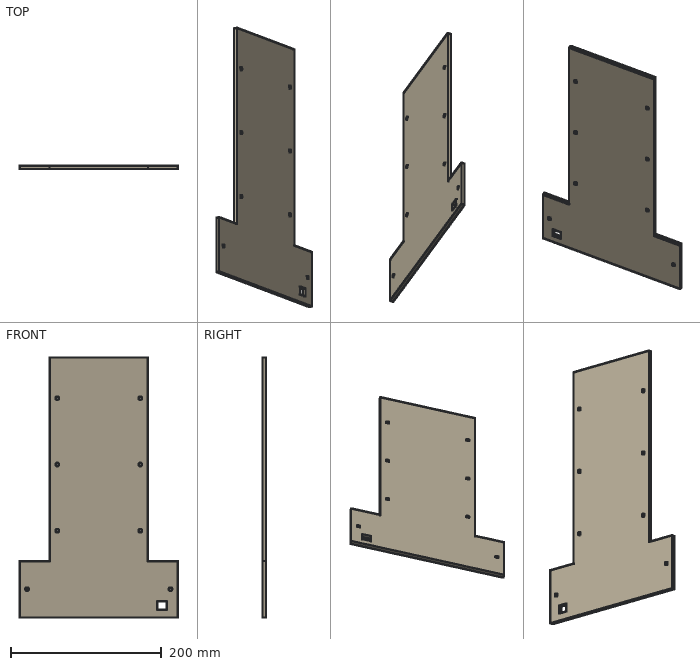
import cadquery as cq

total_height = 345.0
thickness = 5.0
foot_width = 210.0
foot_height = 75.0
panel_width = 130.0

hole_diameter = 4.0
panel_hole_spacing = 110.0
panel_hole_pitch = 88.0
panel_hole_middle_height = 203.0
foot_hole_spacing = 190.0
foot_hole_height = 37.5

window_width = 12.0
window_height = 11.0
window_center_x = 84.0
window_center_z = 16.0


def front_block(width, height, center_x, bottom_z):
    """Block of plate thickness, centred through the plate."""
    return (
        cq.Workplane("XY")
        .box(width, thickness, height, centered=(True, True, False))
        .translate((center_x, 0, bottom_z))
    )


def screw_holes():
    """Cylinders for the symmetric hole pairs in the panel and foot."""
    centers = []
    for side in (-1, 1):
        centers.append((side * foot_hole_spacing / 2, foot_hole_height))
        for row in (-1, 0, 1):
            height = panel_hole_middle_height + row * panel_hole_pitch
            centers.append((side * panel_hole_spacing / 2, height))
    return (
        cq.Workplane("XZ")
        .pushPoints(centers)
        .circle(hole_diameter / 2)
        .extrude(thickness, both=True)
    )


foot = front_block(foot_width, foot_height, 0, 0)
panel = front_block(panel_width, total_height - foot_height, 0, foot_height)
window = front_block(
    window_width, window_height, window_center_x, window_center_z - window_height / 2
)

result = foot.union(panel).cut(screw_holes()).cut(window)